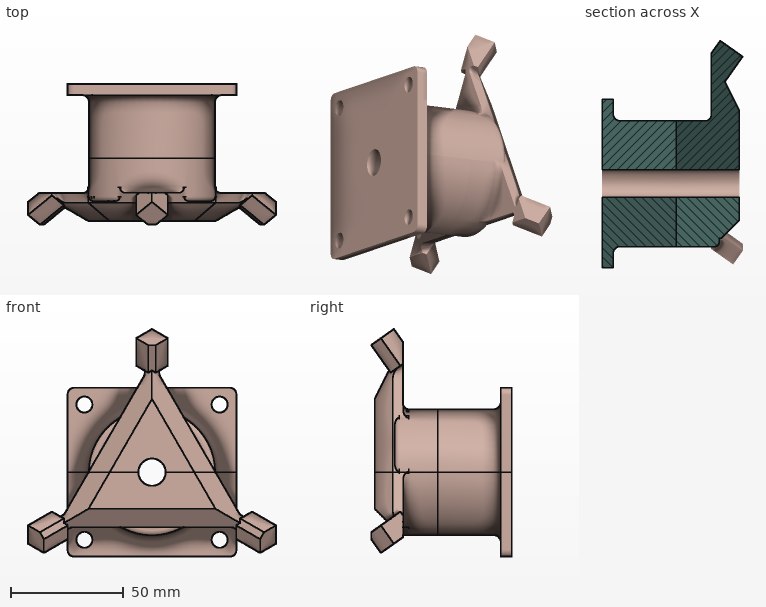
import cadquery as cq
import math


flange_side = 75.0
flange_thickness = 5.0
flange_corner_radius = 3.0
mount_hole_diameter = 7.0
mount_hole_spacing = 60.0

barrel_radius = 28.0
barrel_length = 52.0
barrel_root_radius = 3.0
barrel_end_radius = 2.0
bore_diameter = 12.0

head_back = 48.3
head_front = 60.9
head_inradius = 24.4
head_corner_distance = 2 * head_inradius
head_chamfer = 8.15
back_fillet = 2.5
side_fillet = 4.0

jaw_side = 10.0
jaw_length = 15.0
jaw_front_chamfer = 2.5
jaw_end = 72.81
jaw_start = jaw_end - jaw_length
jaw_axes_meet = 16.1
jaw_root_fillet = 1.5
jaw_count = 3

jaw_tilt = math.atan(1 / math.sqrt(2))
upward_jaw_axis = cq.Vector(0, -math.sin(jaw_tilt), math.cos(jaw_tilt))

section_split = 33.0


def turned(shape, angle):
    return shape.rotate((0, 0, 0), (0, 1, 0), angle)


def front_plane(distance):
    """XZ plane at a distance in front of the flange back; its normal points to -Y."""
    return cq.Workplane("XZ", origin=(0, -distance, 0))


def make_flange():
    plate = front_plane(0).rect(flange_side, flange_side).extrude(flange_thickness)
    plate = plate.edges("|Y").fillet(flange_corner_radius)
    holes = (
        front_plane(0)
        .rect(mount_hole_spacing, mount_hole_spacing, forConstruction=True)
        .vertices()
        .circle(mount_hole_diameter / 2)
        .extrude(flange_thickness)
    )
    return plate.cut(holes)


def make_barrel():
    """Revolved barrel, flared at its root and rounded at its front end."""
    return (
        cq.Workplane("XY")
        .moveTo(0, -flange_thickness)
        .lineTo(barrel_radius + barrel_root_radius, -flange_thickness)
        .radiusArc((barrel_radius, -flange_thickness - barrel_root_radius), -barrel_root_radius)
        .lineTo(barrel_radius, -barrel_length + barrel_end_radius)
        .radiusArc((barrel_radius - barrel_end_radius, -barrel_length), barrel_end_radius)
        .lineTo(0, -barrel_length)
        .close()
        .revolve(360, (0, 0, 0), (0, 1, 0))
    )


def make_triangle(start, end):
    """Prism with the outline of the head between two distances from the flange back."""
    prism = front_plane(start).polygon(3, 2 * head_corner_distance).extrude(end - start)
    return turned(prism, -90)


def make_back_fillet():
    """Concave ring between the barrel and the back of the head, trimmed to the head's outline."""
    outer_radius = barrel_radius + back_fillet
    inner_radius = barrel_radius - back_fillet
    start = head_back - back_fillet
    ring = (
        cq.Workplane("XY")
        .moveTo(inner_radius, -start)
        .lineTo(barrel_radius, -start)
        .radiusArc((outer_radius, -head_back), -back_fillet)
        .lineTo(inner_radius, -head_back)
        .close()
        .revolve(360, (0, 0, 0), (0, 1, 0))
    )
    return ring.intersect(make_triangle(start, head_back))


def make_side_fillets():
    """Concave strips along Y where the sides of the head run into the barrel."""
    start = head_back - back_fillet
    end = barrel_length - barrel_end_radius
    triangle = make_triangle(start, end)
    joined = front_plane(start).circle(barrel_radius).extrude(end - start).union(triangle)
    mean_distance = (barrel_radius + head_corner_distance) / 2
    inner_corners = joined.edges("|Y").filter(
        lambda edge: math.hypot(edge.Center().x, edge.Center().z) < mean_distance
    )
    return inner_corners.fillet(side_fillet).cut(triangle)


def make_jaw():
    """The upward jaw: a rod with a chamfered front corner, cut flush with the back of the head."""
    start_plane = cq.Plane(
        origin=cq.Vector(0, -jaw_axes_meet, 0) + upward_jaw_axis * jaw_start,
        xDir=(1, 0, 0),
        normal=upward_jaw_axis,
    )
    half_diagonal = jaw_side / math.sqrt(2)
    half_flat = jaw_front_chamfer / math.sqrt(2)
    section = [
        (0, half_diagonal),
        (-half_diagonal, 0),
        (-half_flat, half_flat - half_diagonal),
        (half_flat, half_flat - half_diagonal),
        (half_diagonal, 0),
    ]
    rod = cq.Workplane(start_plane).polyline(section).close().extrude(jaw_length)
    reach = 2 * jaw_end
    behind_head = front_plane(0).rect(reach, reach).extrude(head_back)
    return rod.cut(behind_head)


def add_upward_jaw(head):
    """Join the jaw to the upper corner and fillet the two sides of the head into its inner end."""
    head = head.union(make_jaw())
    for side in (-1, 1):
        side_normal = cq.Vector(side * math.cos(math.radians(30)), 0, math.sin(math.radians(30)))
        root_direction = side_normal.cross(upward_jaw_axis)
        root_edge = head.edges(cq.selectors.ParallelDirSelector(root_direction))
        head = root_edge.fillet(jaw_root_fillet)
    return head


def make_head():
    head = make_triangle(head_back, head_front).faces("<Y").chamfer(head_chamfer)
    for _ in range(jaw_count):
        head = turned(add_upward_jaw(head), 360 / jaw_count)
    return head


def make_whole():
    whole = make_flange().union(make_barrel()).union(make_head())
    whole = whole.union(make_back_fillet()).union(make_side_fillets())
    bore = front_plane(0).circle(bore_diameter / 2).extrude(head_front)
    return whole.cut(bore)


def section_half(whole, start, end, side):
    """Half of the whole between two distances from the flange back; side is 1 above, -1 below."""
    height = 2 * jaw_end
    block = (
        front_plane(start)
        .center(0, side * height / 2)
        .rect(2 * height, height)
        .extrude(end - start)
    )
    return whole.intersect(block)


def make_rear_half(whole, side):
    return section_half(whole, 0, section_split, side)


def make_front_half(whole, side):
    beyond_jaws = 2 * head_front
    return section_half(whole, section_split, beyond_jaws, side)


whole = make_whole()
upper_rear = make_rear_half(whole, 1)
lower_rear = make_rear_half(whole, -1)
upper_front = make_front_half(whole, 1)
lower_front = make_front_half(whole, -1)

result = cq.Compound.makeCompound(
    [upper_rear.val(), lower_rear.val(), upper_front.val(), lower_front.val()]
)